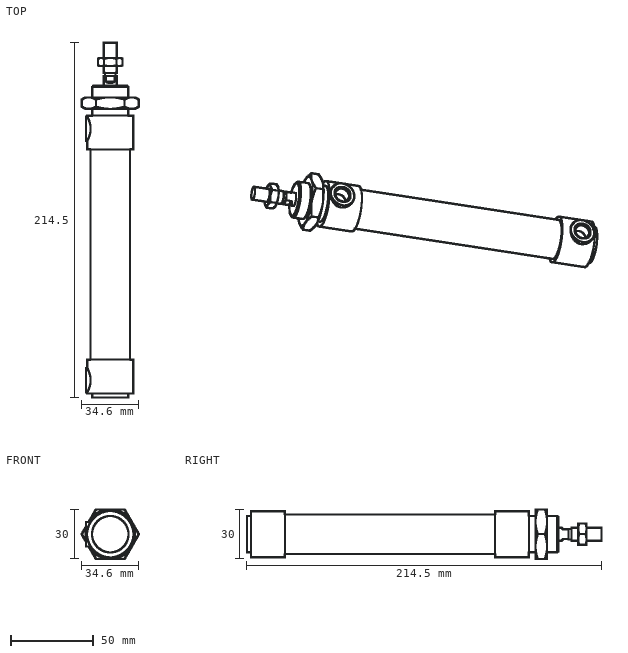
import cadquery as cq
import math


tube_diameter = 24.0
cap_diameter = 28.0
cap_length = 20.5
rear_cap_end = 168.0
threaded_diameter = 22.0
collar_length = 18.0
collar_chamfer = 0.9
spigot_length = 2.5

port_distances = (8.0, 160.0)
port_boss_diameter = 15.0
port_face_distance = 14.75
port_diameter = 8.7
port_mouth_chamfer = 0.8
port_mouth_taper = 45.0
port_depth = 8.0

rod_diameter = 8.0
rod_reach = 44.0
thread_length = 18.3
relief_diameter = 6.5
relief_length = 1.7
flats_width = 6.0
flats_length = 3.4
flats_runout = (rod_diameter - flats_width) / 2

mounting_nut_width = 30.0
mounting_nut_thickness = 7.0
mounting_nut_front = 11.0
rod_nut_width = 13.0
rod_nut_thickness = 5.0
rod_nut_setback = 9.2
rod_nut_front = rod_reach - rod_nut_setback
nut_chamfer_angle = math.radians(30)


def cylinder(diameter, front, length):
    """Round bar on the cylinder axis, running from Y = front towards the rear."""
    return cq.Workplane("XZ", origin=(0, front, 0)).circle(diameter / 2).extrude(length)


def make_housing():
    rear_cap_front = cap_length - rear_cap_end
    collar = cylinder(threaded_diameter, collar_length, collar_length).faces(">Y").chamfer(collar_chamfer)
    body = (
        collar
        .union(cylinder(cap_diameter, 0, cap_length))
        .union(cylinder(tube_diameter, -cap_length, -cap_length - rear_cap_front))
        .union(cylinder(cap_diameter, rear_cap_front, cap_length))
        .union(cylinder(threaded_diameter, -rear_cap_end, spigot_length))
    )
    for distance in port_distances:
        port_face = cq.Workplane("YZ", origin=(-port_face_distance, -distance, 0))
        boss = port_face.circle(port_boss_diameter / 2).extrude(port_face_distance)
        hole = port_face.circle(port_diameter / 2).extrude(port_depth)
        mouth = (
            port_face.circle(port_diameter / 2 + port_mouth_chamfer)
            .extrude(port_mouth_chamfer, taper=port_mouth_taper)
        )
        body = body.union(boss).cut(hole).cut(mouth)
    return body.cut(cylinder(rod_diameter, collar_length, collar_length + cap_length))


def make_rod():
    relief_front = rod_reach - thread_length
    flats_front = relief_front - relief_length
    flats_rear = flats_front - flats_length
    rod = cylinder(rod_diameter, rod_reach, rod_reach + cap_length)
    relief_ring = cylinder(rod_diameter, relief_front, relief_length).cut(
        cylinder(relief_diameter, relief_front, relief_length)
    )
    rod = rod.cut(relief_ring)
    flat = (
        cq.Workplane("YZ")
        .moveTo(flats_front, flats_width / 2)
        .lineTo(flats_rear, flats_width / 2)
        .lineTo(flats_rear - flats_runout, rod_diameter / 2)
        .lineTo(flats_front, rod_diameter / 2)
        .close()
        .extrude(rod_diameter / 2, both=True)
    )
    return rod.cut(flat).cut(flat.mirror("XY"))


def make_nut(width, thickness, hole_diameter, front):
    """Hex nut with two flats facing +Z and -Z and its corners chamfered on both faces."""
    corner_diameter = width / math.cos(math.pi / 6)
    chamfer_width = (corner_diameter - width) / 2
    chamfer_height = chamfer_width * math.tan(nut_chamfer_angle)
    prism = cq.Workplane("XZ", origin=(0, front, 0)).polygon(6, corner_diameter).extrude(thickness)
    chamfered_disc = cylinder(corner_diameter, front, thickness).faces("<Y or >Y").chamfer(
        chamfer_height, chamfer_width
    )
    return prism.intersect(chamfered_disc).cut(cylinder(hole_diameter, front, thickness))


housing = make_housing()
rod = make_rod()
mounting_nut = make_nut(mounting_nut_width, mounting_nut_thickness, threaded_diameter, mounting_nut_front)
rod_nut = make_nut(rod_nut_width, rod_nut_thickness, rod_diameter, rod_nut_front)

result = cq.Compound.makeCompound([housing.val(), rod.val(), mounting_nut.val(), rod_nut.val()])